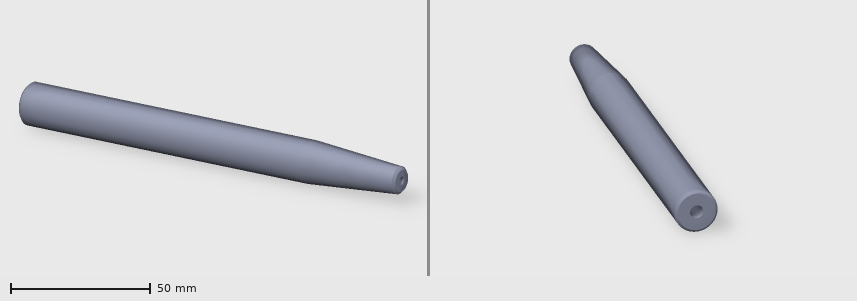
import cadquery as cq
import math

length = 160.0
shaft_diameter = 16.0

taper_length = 38.4
tip_diameter = 10.2
edge_chamfer = 1.0

bore_diameter = 3.0
drill_diameter = 5.0
drill_depth = 20.0
drill_point_angle = 118

shaft_radius = shaft_diameter / 2
tip_radius = tip_diameter / 2
bore_radius = bore_diameter / 2
drill_radius = drill_diameter / 2
cone_depth = (drill_radius - bore_radius) / math.tan(math.radians(drill_point_angle / 2))

back_x = -length / 2
front_x = length / 2
drill_floor_x = back_x + drill_depth
taper_start_x = front_x - taper_length

half_section = [
    (drill_floor_x + cone_depth, bore_radius),
    (drill_floor_x, drill_radius),
    (back_x, drill_radius),
    (back_x, shaft_radius - edge_chamfer),
    (back_x + edge_chamfer, shaft_radius),
    (taper_start_x, shaft_radius),
    (front_x - edge_chamfer, tip_radius),
    (front_x, tip_radius - edge_chamfer),
    (front_x, bore_radius),
]

result = (
    cq.Workplane("XY")
    .polyline(half_section)
    .close()
    .revolve(360, (0, 0, 0), (1, 0, 0))
)